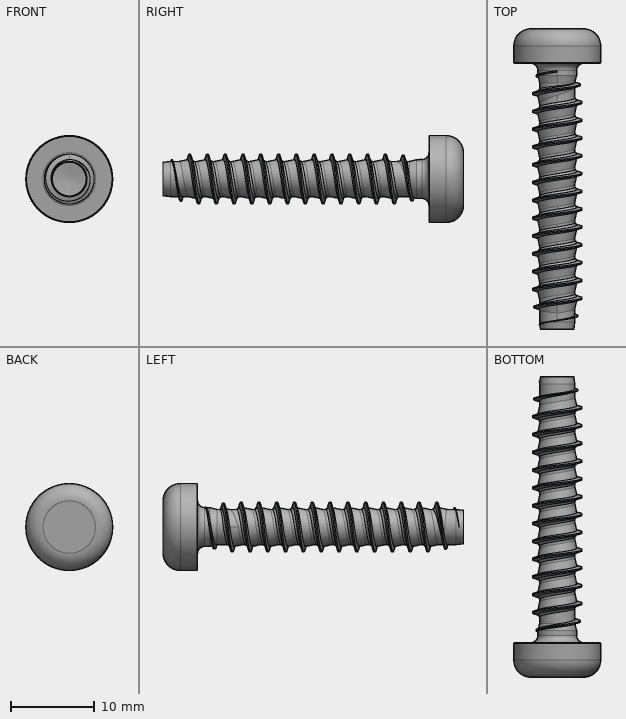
import cadquery as cq
import math

total_length = 36.2
head_diameter = 10.5
head_height = 4.2
head_dome_radius = 2.1
head_rim_chamfer = 0.1

neck_radius = 2.35
neck_fillet = 0.85
neck_end = 5.65
core_start = 6.5
core_radius = 2.15
tip_taper_start = 35.3
tip_radius = 2.03
tip_hollow_depth = 0.25

fade_in_turns = 1.25
full_turns = 11.75
fade_out_turns = 1.25
thread_length = 30.5
pitch = thread_length / (fade_in_turns + full_turns + fade_out_turns)
thread_start = 5.15
thread_start_angle = 90.0
crest_radius = 3.0
crest_width = 0.15
flank_foot_radius = 2.35
flank_foot_half_width = 0.25
collar_radius = 2.15
collar_head_side = 0.55
collar_tip_side = 1.25
buried_radius = 1.9
fade_in_depth = 0.58
fade_out_depth = 0.85
fade_out_width = 0.2


def screw_body():
    """Head, neck and core as one solid of revolution, built along +Z from the head top."""
    head_radius = head_diameter / 2
    dome_flat_radius = head_radius - head_dome_radius
    arc_reach = math.sqrt(0.5)
    dome_middle = (
        dome_flat_radius + head_dome_radius * arc_reach,
        head_dome_radius * (1 - arc_reach),
    )
    fillet_middle = (
        neck_radius + neck_fillet * (1 - arc_reach),
        head_height + neck_fillet * (1 - arc_reach),
    )
    outline = (
        cq.Workplane("YZ")
        .lineTo(dome_flat_radius, 0)
        .threePointArc(dome_middle, (head_radius, head_dome_radius))
        .lineTo(head_radius, head_height - head_rim_chamfer)
        .lineTo(head_radius - head_rim_chamfer, head_height)
        .lineTo(neck_radius + neck_fillet, head_height)
        .threePointArc(fillet_middle, (neck_radius, head_height + neck_fillet))
        .lineTo(neck_radius, neck_end)
        .lineTo(core_radius, core_start)
        .lineTo(core_radius, tip_taper_start)
        .lineTo(tip_radius, total_length)
        .lineTo(0, total_length - tip_hollow_depth)
        .close()
    )
    return outline.revolve(360, (0, 0, 0), (0, 1, 0)).val()


thread_profile = [
    (buried_radius, -collar_head_side),
    (collar_radius, -collar_head_side),
    (flank_foot_radius, -flank_foot_half_width),
    (crest_radius, -crest_width / 2),
    (crest_radius, crest_width / 2),
    (flank_foot_radius, flank_foot_half_width),
    (collar_radius, collar_tip_side),
    (buried_radius, collar_tip_side),
]


def helix(radius, offset, first_turn, turns, start_sink, end_sink):
    """Helix around Z followed by one profile corner from the start to the end of a section."""
    end_offset = offset * (fade_out_width if end_sink else 1)
    growth = start_sink - end_sink
    rise = turns * pitch + end_offset - offset
    if growth == 0:
        curve = cq.Wire.makeHelix(rise / turns, rise, radius)
    else:
        slant = math.hypot(rise, growth)
        cone_angle = math.degrees(math.atan2(growth, rise))
        curve = cq.Wire.makeHelix(slant / turns, slant, radius - start_sink, angle=cone_angle)
    start_angle = thread_start_angle + 360 * first_turn
    turned = curve.rotate(cq.Vector(0, 0, 0), cq.Vector(0, 0, 1), start_angle)
    return turned.translate(cq.Vector(0, 0, thread_start + first_turn * pitch + offset))


def thread_section(first_turn, turns, start_sink, end_sink):
    """Thread solid over some turns; its profile sinks by the given depths at the two ends."""
    curves = [
        helix(radius, offset, first_turn, turns, start_sink, end_sink)
        for radius, offset in thread_profile
    ]
    faces = []
    for curve, next_curve in zip(curves, curves[1:] + curves[:1]):
        faces.extend(cq.Face.makeRuledSurface(curve, next_curve).Faces())
    for end in (0, 1):
        corners = [curve.positionAt(end) for curve in curves]
        faces.append(cq.Face.makeFromWires(cq.Wire.makePolygon(corners, close=True)))
    return cq.Solid.makeSolid(cq.Shell.makeShell(faces))


fade_out_start = fade_in_turns + full_turns
thread_sections = [
    thread_section(0, fade_in_turns, fade_in_depth, 0),
    thread_section(fade_in_turns, full_turns, 0, 0),
    thread_section(fade_out_start, fade_out_turns, 0, fade_out_depth),
]
screw = screw_body()
for section in thread_sections:
    screw = screw.fuse(section)

result = cq.Workplane(obj=screw).rotate((0, 0, 0), (1, 0, 0), 90).translate((0, total_length / 2, 0))